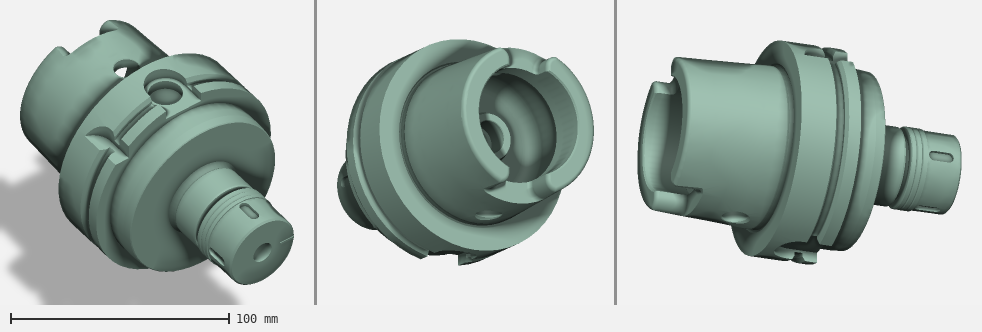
import cadquery as cq
import math


SHANK_LENGTH = 50.0
SHANK_BASE_RADIUS = 38.0
SHANK_TIP_RADIUS = 35.5
SHANK_ROUND = 2.0
RELIEF_START = 2.5
RELIEF_FLOOR_START = 1.5
RELIEF_RADIUS = 37.5
RELIEF_FACE_RADIUS = 39.3
RELIEF_FACE_DEPTH = 0.7

FLANGE_RADIUS = 50.0
FLANGE_LENGTH = 29.0
GROOVE_CENTRE = 20.0
GROOVE_RADIUS = 46.2
GROOVE_FLOOR_WIDTH = 3.8
GROOVE_MOUTH_WIDTH = 6.3
GROOVE_SHOULDER_RADIUS = 47.9

COLLAR_RADIUS = 42.0
COLLAR_END = 44.0
COLLAR_TAPER_START = 39.2
COLLAR_RIM_RADIUS = 41.6
COLLAR_RIM_CHAMFER = 0.4

NECK_RADIUS = 18.5
NECK_END = 62.2
NECK_CHAMFER_LENGTH = 0.8
NECK_CHAMFER_DROP = 0.3
NECK_FLARE_RADIUS = 19.7
NECK_FLARE_END = 46.8
NECK_FLARE_FOOT_RADIUS = 18.3
NECK_FLARE_ROUND = 4.2
NECK_UNDERCUT_RADIUS = 18.0
NECK_UNDERCUT_END = 47.7
NUT_GAP_RADIUS = 15.0

NUT_START = 64.8
NUT_BAND_END = 72.7
NUT_BAND_RADIUS = 19.2
NUT_BAND_CHAMFER = 0.4
NUT_BODY_RADIUS = 18.6
NUT_TIP_RADIUS = 18.5
NUT_END = 89.6
NUT_CHAMFER = 0.8
NUT_GROOVE_PLACES = (67.5, 70.3)
NUT_GROOVE_WIDTH = 1.0
NUT_GROOVE_DEPTH = 0.4
NUT_SLOT_COUNT = 4
NUT_SLOT_START = 73.4
NUT_SLOT_LENGTH = 12.0
NUT_SLOT_WIDTH = 4.8
NUT_SLOT_DEPTH = 2.0
MARK_HEIGHT = 0.4
MARK_WIDTH = 1.1
MARK_INNER_RADIUS = 10.0

BORE_RADIUS = 53.0 / 2
CAVITY_RADIUS = 31.5
CAVITY_START = -30.7
CAVITY_CONE_ANGLE = math.radians(60)
CAVITY_FLOOR = -3.6
CAVITY_FLOOR_ROUND = 6.6
BORE_MOUTH_CHAMFER = 0.7
BOSS_RADIUS = 24.5 / 2
BOSS_TIP_RADIUS = 22.1 / 2
BOSS_TIP = -15.5
BOSS_TAPER_LENGTH = 3.1
BOSS_HOLE_RADIUS = 15.3 / 2
BOSS_HOLE_MOUTH_RADIUS = 16.0 / 2
BOSS_HOLE_DEPTH = 11.2
THROUGH_RADIUS = 10.5 / 2
THROUGH_MOUTH_RADIUS = 12.0 / 2

SLOT_HALF_WIDTH = 9.8
SLOT_SHELF_HEIGHT = 32.3
SLOT_SIDE_ROUND = 5.5
SLOT_SHELF_HALF_WIDTH = 21.0
SLOT_ROOF = 42.0
TOP_SLOT_DEPTH = 9.7
BOTTOM_SLOT_DEPTH = 15.0

CROSS_HOLE_X = -14.7
CROSS_HOLE_DIAMETER = 12.0
CROSS_HOLE_SINK_HEIGHT = 36.5
CROSS_HOLE_OVERRUN = 1.4

NOTCH_WIDTH = 20.0
NOTCH_CENTRE_X = 15.1
KEY_NOTCH_FLOOR = 44.0
CORNER_NOTCH_FLOOR = 31.4
CORNER_NOTCH_WALL = 31.4
CHIP_HOLE_DIAMETER = 16.0
CHIP_HOLE_DEPTH = 4.9

CLEARANCE = 7.0


def turned(profile):
    """Turn a closed wire drawn in the XY plane about the X axis."""
    return profile.close().revolve(360, (0, 0, 0), (1, 0, 0))


def nut_groove(place):
    """V-shaped ring around the nut band."""
    half_width = NUT_GROOVE_WIDTH / 2
    return turned(
        cq.Workplane("XY")
        .moveTo(place - half_width, NUT_BAND_RADIUS)
        .lineTo(place, NUT_BAND_RADIUS - NUT_GROOVE_DEPTH)
        .lineTo(place + half_width, NUT_BAND_RADIUS)
    )


def outer_body():
    mouth = GROOVE_MOUTH_WIDTH / 2
    floor = GROOVE_FLOOR_WIDTH / 2
    profile = (
        cq.Workplane("XY")
        .moveTo(-SHANK_LENGTH, 0)
        .lineTo(-SHANK_LENGTH, SHANK_TIP_RADIUS)
        .lineTo(-RELIEF_START, SHANK_BASE_RADIUS)
        .lineTo(-RELIEF_FLOOR_START, RELIEF_RADIUS)
        .lineTo(-RELIEF_FACE_DEPTH, RELIEF_RADIUS)
        .lineTo(RELIEF_FACE_DEPTH, SHANK_BASE_RADIUS)
        .lineTo(RELIEF_FACE_DEPTH, RELIEF_FACE_RADIUS - RELIEF_FACE_DEPTH)
        .lineTo(0, RELIEF_FACE_RADIUS)
        .lineTo(0, FLANGE_RADIUS)
        .lineTo(GROOVE_CENTRE - mouth, FLANGE_RADIUS)
        .lineTo(GROOVE_CENTRE - floor, GROOVE_SHOULDER_RADIUS)
        .lineTo(GROOVE_CENTRE - floor, GROOVE_RADIUS)
        .lineTo(GROOVE_CENTRE + floor, GROOVE_RADIUS)
        .lineTo(GROOVE_CENTRE + floor, GROOVE_SHOULDER_RADIUS)
        .lineTo(GROOVE_CENTRE + mouth, FLANGE_RADIUS)
        .lineTo(FLANGE_LENGTH, FLANGE_RADIUS)
        .lineTo(FLANGE_LENGTH, COLLAR_RADIUS)
        .lineTo(COLLAR_TAPER_START, COLLAR_RADIUS)
        .lineTo(COLLAR_END - COLLAR_RIM_CHAMFER, COLLAR_RIM_RADIUS)
        .lineTo(COLLAR_END, COLLAR_RIM_RADIUS - COLLAR_RIM_CHAMFER)
        .lineTo(COLLAR_END, NECK_FLARE_RADIUS)
        .radiusArc((NECK_FLARE_END, NECK_FLARE_FOOT_RADIUS), -NECK_FLARE_ROUND)
        .lineTo((NECK_FLARE_END + NECK_UNDERCUT_END) / 2, NECK_UNDERCUT_RADIUS)
        .lineTo(NECK_UNDERCUT_END, NECK_RADIUS)
        .lineTo(NECK_END - NECK_CHAMFER_LENGTH, NECK_RADIUS)
        .lineTo(NECK_END, NECK_RADIUS - NECK_CHAMFER_DROP)
        .lineTo(NECK_END, NUT_GAP_RADIUS)
        .lineTo(NUT_START, NUT_GAP_RADIUS)
        .lineTo(NUT_START, NUT_BAND_RADIUS - NUT_BAND_CHAMFER)
        .lineTo(NUT_START + NUT_BAND_CHAMFER, NUT_BAND_RADIUS)
        .lineTo(NUT_BAND_END, NUT_BAND_RADIUS)
        .lineTo(NUT_BAND_END, NUT_BODY_RADIUS)
        .lineTo(NUT_END - NUT_CHAMFER, NUT_TIP_RADIUS)
        .lineTo(NUT_END, NUT_TIP_RADIUS - NUT_CHAMFER)
        .lineTo(NUT_END, 0)
    )
    return turned(profile).faces("<X").edges().fillet(SHANK_ROUND)


def shank_bore():
    """Space inside the shank: the entry bore, opening into a cavity around the coolant boss."""
    cone_length = (CAVITY_RADIUS - BORE_RADIUS) / math.tan(CAVITY_CONE_ANGLE)
    return turned(
        cq.Workplane("XY")
        .moveTo(-SHANK_LENGTH, 0)
        .lineTo(-SHANK_LENGTH, BORE_RADIUS + BORE_MOUTH_CHAMFER)
        .lineTo(-SHANK_LENGTH + BORE_MOUTH_CHAMFER, BORE_RADIUS)
        .lineTo(CAVITY_START, BORE_RADIUS)
        .lineTo(CAVITY_START + cone_length, CAVITY_RADIUS)
        .lineTo(CAVITY_FLOOR - CAVITY_FLOOR_ROUND, CAVITY_RADIUS)
        .radiusArc((CAVITY_FLOOR, CAVITY_RADIUS - CAVITY_FLOOR_ROUND), CAVITY_FLOOR_ROUND)
        .lineTo(CAVITY_FLOOR, BOSS_RADIUS)
        .lineTo(BOSS_TIP + BOSS_TAPER_LENGTH, BOSS_RADIUS)
        .lineTo(BOSS_TIP, BOSS_TIP_RADIUS)
        .lineTo(BOSS_TIP, 0)
    )


def coolant_bore():
    """Stepped hole from the boss tip through to the nut face."""
    hole_chamfer = BOSS_HOLE_MOUTH_RADIUS - BOSS_HOLE_RADIUS
    step = BOSS_TIP + BOSS_HOLE_DEPTH
    return turned(
        cq.Workplane("XY")
        .moveTo(BOSS_TIP, 0)
        .lineTo(BOSS_TIP, BOSS_HOLE_MOUTH_RADIUS)
        .lineTo(BOSS_TIP + hole_chamfer, BOSS_HOLE_RADIUS)
        .lineTo(step, BOSS_HOLE_RADIUS)
        .lineTo(step, THROUGH_MOUTH_RADIUS)
        .lineTo(step + THROUGH_MOUTH_RADIUS - THROUGH_RADIUS, THROUGH_RADIUS)
        .lineTo(NUT_END, THROUGH_RADIUS)
        .lineTo(NUT_END, 0)
    )


def drive_slot(depth):
    """Cutter for the upper drive slot.

    Its sides roll over onto a flat shelf. The slab in front of the shank tip only
    carries the flare that rounds the front edges of the slot.
    """
    round_start = SLOT_SHELF_HEIGHT - SLOT_SIDE_ROUND
    shelf_start = SLOT_HALF_WIDTH + SLOT_SIDE_ROUND
    slot = (
        cq.Workplane("YZ", origin=(-SHANK_LENGTH, 0, 0))
        .moveTo(-SLOT_HALF_WIDTH, 0)
        .lineTo(SLOT_HALF_WIDTH, 0)
        .lineTo(SLOT_HALF_WIDTH, round_start)
        .radiusArc((shelf_start, SLOT_SHELF_HEIGHT), SLOT_SIDE_ROUND)
        .lineTo(SLOT_SHELF_HALF_WIDTH, SLOT_SHELF_HEIGHT)
        .lineTo(SLOT_SHELF_HALF_WIDTH, SLOT_ROOF)
        .lineTo(-SLOT_SHELF_HALF_WIDTH, SLOT_ROOF)
        .lineTo(-SLOT_SHELF_HALF_WIDTH, SLOT_SHELF_HEIGHT)
        .lineTo(-shelf_start, SLOT_SHELF_HEIGHT)
        .radiusArc((-SLOT_HALF_WIDTH, round_start), SLOT_SIDE_ROUND)
        .close()
        .extrude(depth)
    )
    slab = (
        cq.Workplane("YZ", origin=(-SHANK_LENGTH, 0, 0))
        .moveTo(0, SLOT_ROOF / 2)
        .rect(2 * SLOT_SHELF_HALF_WIDTH, SLOT_ROOF)
        .extrude(-CLEARANCE)
    )
    cutter = slot.union(slab)
    for end in (-SHANK_LENGTH, depth - SHANK_LENGTH):
        side_edges = cq.selectors.BoxSelector(
            (end - 0.1, -SLOT_SHELF_HALF_WIDTH + 0.1, 0.1),
            (end + 0.1, SLOT_SHELF_HALF_WIDTH - 0.1, SLOT_ROOF - 0.1),
        )
        cutter = cutter.edges(side_edges).fillet(SHANK_ROUND)
    return cutter


def notch(floor):
    """Upward-facing notch, round at one end and open at the other flange face."""
    height = FLANGE_RADIUS + CLEARANCE - floor
    plane = cq.Workplane("XY", origin=(NOTCH_CENTRE_X, 0, floor))
    length = FLANGE_LENGTH - NOTCH_CENTRE_X
    straight = plane.center(length / 2, 0).rect(length, NOTCH_WIDTH).extrude(height)
    return plane.circle(NOTCH_WIDTH / 2).extrude(height).union(straight)


def upside_down(shape):
    return shape.rotate((0, 0, 0), (1, 0, 0), 180)


def cross_hole():
    """Upper cross hole from inside the cavity out to the shank surface."""
    plane = cq.Workplane("XY", origin=(CROSS_HOLE_X, 0, BORE_RADIUS))
    return plane.circle(CROSS_HOLE_DIAMETER / 2).extrude(SHANK_BASE_RADIUS + CROSS_HOLE_OVERRUN - BORE_RADIUS)


def cross_hole_sink():
    """45 degree cone, tip inward, that breaks the outer edge of the upper cross hole."""
    tip_height = CROSS_HOLE_SINK_HEIGHT - CROSS_HOLE_DIAMETER / 2
    height = SHANK_BASE_RADIUS + CROSS_HOLE_OVERRUN - tip_height
    return cq.Workplane("XY").add(
        cq.Solid.makeCone(0, height, height, cq.Vector(CROSS_HOLE_X, 0, tip_height), cq.Vector(0, 0, 1))
    )


def nut_slots():
    middle = NUT_SLOT_START + NUT_SLOT_LENGTH / 2
    slot = (
        cq.Workplane("XY", origin=(middle, 0, NUT_TIP_RADIUS - NUT_SLOT_DEPTH))
        .slot2D(NUT_SLOT_LENGTH, NUT_SLOT_WIDTH)
        .extrude(CLEARANCE)
    )
    slots = cq.Workplane("XY")
    for i in range(NUT_SLOT_COUNT):
        slots = slots.add(slot.rotate((0, 0, 0), (1, 0, 0), i * 360 / NUT_SLOT_COUNT))
    return slots.combine()


def index_mark():
    length = NUT_TIP_RADIUS - NUT_CHAMFER - MARK_INNER_RADIUS
    return cq.Workplane("YZ", origin=(NUT_END, 0, 0)).center(MARK_INNER_RADIUS + length / 2, 0).rect(
        length, MARK_WIDTH).extrude(MARK_HEIGHT)


body = outer_body()
body = body.cut(drive_slot(TOP_SLOT_DEPTH)).cut(upside_down(drive_slot(BOTTOM_SLOT_DEPTH)))

body = body.cut(shank_bore()).cut(coolant_bore())
for cutter in (cross_hole_sink(), cross_hole()):
    body = body.cut(cutter).cut(upside_down(cutter))

key_notch = notch(KEY_NOTCH_FLOOR)
corner_notch = notch(CORNER_NOTCH_FLOOR).translate((0, -CORNER_NOTCH_WALL - NOTCH_WIDTH / 2, 0))
chip_hole = (
    cq.Workplane("XY", origin=(NOTCH_CENTRE_X, 0, KEY_NOTCH_FLOOR - CHIP_HOLE_DEPTH))
    .circle(CHIP_HOLE_DIAMETER / 2)
    .extrude(CHIP_HOLE_DEPTH + CLEARANCE)
)
body = body.cut(key_notch).cut(upside_down(key_notch)).cut(corner_notch).cut(chip_hole)

for place in NUT_GROOVE_PLACES:
    body = body.cut(nut_groove(place))
body = body.cut(nut_slots())

result = body.union(index_mark())